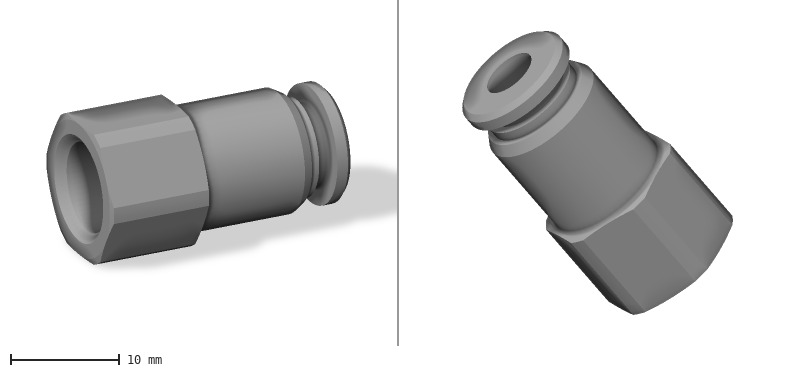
import cadquery as cq
import math

total_length = 25.2

hex_length = 10.0
hex_across_flats = 13.0
hex_corner_diameter = 14.2
hex_chamfer_angle = 15.0

body_radius = 5.92
body_end = 21.22
body_chamfer_length = 1.0
body_chamfer_angle = 30.0
body_root_fillet = 0.3

collar_radius = 4.76
collar_end = 22.23
neck_radius = 3.98
neck_fillet = 0.3
flange_radius = 5.72
flange_thickness = 1.6
flange_chamfer = 0.5

port_radius = 4.28
port_mouth_radius = 5.15
port_depth = 8.06
passage_radius = 2.52
passage_chamfer = 0.28


def revolve_about_y(profile):
    """Revolve a closed XY profile, with X as radius, around the Y axis."""
    return profile.close().revolve(360, (0, 0, 0), (0, 1, 0))


def make_hex():
    """Hexagon with flats facing +Z and -Z, rounded corners and coned ends."""
    corner_radius = hex_corner_diameter / 2
    face_radius = hex_across_flats / 2
    cone_length = (corner_radius - face_radius) * math.tan(math.radians(hex_chamfer_angle))
    across_corners = hex_across_flats / math.cos(math.pi / 6)
    prism = (
        cq.Workplane("XZ")
        .polygon(6, across_corners)
        .extrude(-hex_length)
    )
    envelope = revolve_about_y(
        cq.Workplane("XY")
        .moveTo(0, 0)
        .lineTo(face_radius, 0)
        .lineTo(corner_radius, cone_length)
        .lineTo(corner_radius, hex_length - cone_length)
        .lineTo(face_radius, hex_length)
        .lineTo(0, hex_length)
    )
    return prism.intersect(envelope)


def make_round_body():
    """Body, collar, neck and flange as one turned shape rooted inside the hexagon."""
    chamfer_depth = body_chamfer_length * math.tan(math.radians(body_chamfer_angle))
    flange_start = total_length - flange_thickness
    overlap_start = hex_length / 2
    return revolve_about_y(
        cq.Workplane("XY")
        .moveTo(0, overlap_start)
        .lineTo(body_radius + body_root_fillet, overlap_start)
        .lineTo(body_radius + body_root_fillet, hex_length)
        .radiusArc((body_radius, hex_length + body_root_fillet), body_root_fillet)
        .lineTo(body_radius, body_end - body_chamfer_length)
        .lineTo(body_radius - chamfer_depth, body_end)
        .lineTo(collar_radius, body_end)
        .lineTo(collar_radius, collar_end)
        .lineTo(neck_radius, collar_end)
        .lineTo(neck_radius, flange_start - neck_fillet)
        .radiusArc((neck_radius + neck_fillet, flange_start), neck_fillet)
        .lineTo(flange_radius, flange_start)
        .lineTo(flange_radius, total_length - flange_chamfer)
        .lineTo(flange_radius - flange_chamfer, total_length)
        .lineTo(0, total_length)
    )


def make_passage():
    """Port with a 45 degree mouth, leading to a chamfered through passage."""
    mouth_depth = port_mouth_radius - port_radius
    return revolve_about_y(
        cq.Workplane("XY")
        .moveTo(0, 0)
        .lineTo(port_mouth_radius, 0)
        .lineTo(port_radius, mouth_depth)
        .lineTo(port_radius, port_depth)
        .lineTo(passage_radius + passage_chamfer, port_depth)
        .lineTo(passage_radius, port_depth + passage_chamfer)
        .lineTo(passage_radius, total_length)
        .lineTo(0, total_length)
    )


result = make_hex().union(make_round_body()).cut(make_passage())